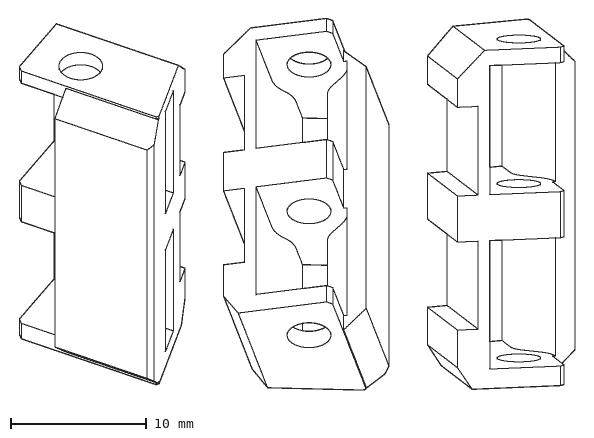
import cadquery as cq
import math

depth = 9.85
height = 25.35
max_width = 12.21

slant = math.tan(math.radians(15))
edge_chamfer = 0.38

body_front = 1.7
lip_left = 4.1
lip_end_gap = 0.2
lip_top_z = 23.46
lip_bottom_z = 1.88
step_chamfer = 0.2

top_chamfer = 2.05
bottom_chamfer_y = 1.11
bottom_chamfer_z = 1.67
notch_depth = 1.57

middle_wall_bottom = 11.07
middle_wall_top = 14.52
pocket_heights = [(1.47, middle_wall_bottom), (middle_wall_top, 24.17)]
notch_heights = [(4.49, middle_wall_bottom), (middle_wall_top, 21.15)]

chamber_front = 1.47
chamber_back = 7.4
slot_front = 3.85
slot_back = 6.25
slot_start_x = 8.46
front_ramp_angle = 45.0
front_ramp_start_y = 2.28
front_ramp_end_y = 3.27
back_curve_start_x = 5.27
back_curve_middle_y = 6.8

hole_x = 3.95
hole_y = 4.28
hole_diameter = 3.22


def slanted_x(y):
    """X of the slanted side at a given Y."""
    return max_width - (y - edge_chamfer) * slant


def box(x0, x1, y0, y1, z0, z1):
    """Box between the given limits."""
    return cq.Workplane("XY").box(x1 - x0, y1 - y0, z1 - z0, centered=False).translate((x0, y0, z0))


def side_prism(points):
    """Extrude a (Y, Z) outline along X over the full width."""
    return cq.Workplane("YZ").polyline(points).close().extrude(max_width)


def make_body():
    """Main block with a slanted side and chamfered back edges."""
    plan = cq.Workplane("XY").polyline([
        (edge_chamfer, body_front),
        (slanted_x(body_front) - step_chamfer, body_front),
        (slanted_x(body_front + step_chamfer), body_front + step_chamfer),
        (slanted_x(depth), depth),
        (0, depth),
        (0, body_front + edge_chamfer),
    ]).close().extrude(height)
    side = side_prism([
        (body_front, 0),
        (depth - bottom_chamfer_y, 0),
        (depth, bottom_chamfer_z),
        (depth, height - top_chamfer),
        (depth - top_chamfer, height),
        (body_front, height),
    ])
    return plan.intersect(side)


def make_lip():
    """Raised front lip with sloping ends."""
    lip_back = body_front + step_chamfer
    plan = cq.Workplane("XY").polyline([
        (lip_left, 0),
        (max_width - edge_chamfer, 0),
        (max_width, edge_chamfer),
        (slanted_x(lip_back), lip_back),
        (lip_left, lip_back),
    ]).close().extrude(height)
    side = side_prism([
        (0, lip_bottom_z),
        (body_front, lip_end_gap),
        (lip_back, lip_end_gap),
        (lip_back, height - lip_end_gap),
        (body_front, height - lip_end_gap),
        (0, lip_top_z),
    ])
    return plan.intersect(side)


def make_pocket(z0, z1):
    """Cutter for one pocket between two heights."""
    half_turn = math.tan(math.radians(front_ramp_angle / 2))
    ramp_end_x = slot_start_x - (slot_front - front_ramp_end_y) / half_turn
    ramp_run = (front_ramp_end_y - front_ramp_start_y) / math.tan(math.radians(front_ramp_angle))
    ramp_start_x = ramp_end_x - ramp_run
    front_curve_x = ramp_start_x - (front_ramp_start_y - chamber_front) / half_turn

    back_share = (chamber_back - back_curve_middle_y) / (chamber_back - slot_back)
    back_middle_x = back_curve_start_x + back_share * (slot_start_x - back_curve_start_x)

    return (
        cq.Workplane("XY").workplane(offset=z0)
        .moveTo(0, chamber_front)
        .lineTo(front_curve_x, chamber_front)
        .tangentArcPoint((ramp_start_x, front_ramp_start_y), relative=False)
        .lineTo(ramp_end_x, front_ramp_end_y)
        .tangentArcPoint((slot_start_x, slot_front), relative=False)
        .lineTo(max_width, slot_front)
        .lineTo(max_width, slot_back)
        .lineTo(slot_start_x, slot_back)
        .tangentArcPoint((back_middle_x, back_curve_middle_y), relative=False)
        .tangentArcPoint((back_curve_start_x, chamber_back), relative=False)
        .lineTo(0, chamber_back)
        .close()
        .extrude(z1 - z0)
    )


result = make_body().union(make_lip())

for bottom, top in pocket_heights:
    result = result.cut(make_pocket(bottom, top))

for bottom, top in notch_heights:
    result = result.cut(box(0, max_width, depth - notch_depth, depth, bottom, top))

screw_hole = cq.Workplane("XY").center(hole_x, hole_y).circle(hole_diameter / 2).extrude(height)
result = result.cut(screw_hole)